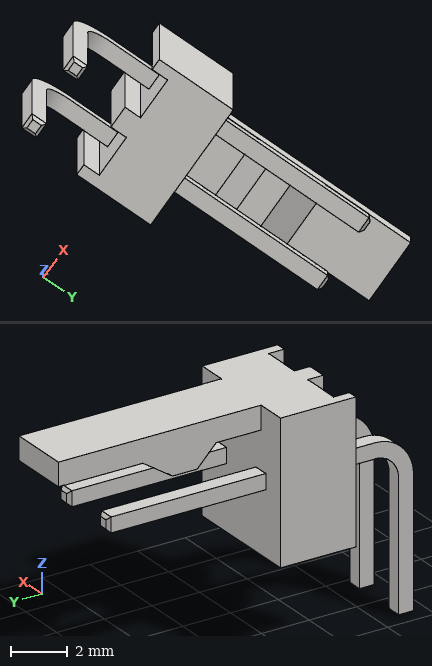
import cadquery as cq

pin_count = 2
body_width = 5.08
pitch = body_width / pin_count
body_depth = 3.18
body_height = 5.86

groove_depth = 0.66
end_wall = 0.44
middle_wall = 0.87
groove_width = (body_width - 2 * end_wall - (pin_count - 1) * middle_wall) / pin_count

tongue_width = 2.56
tongue_thickness = 0.97
tongue_end = 11.69
catch_drop = 0.82
catch_base_front = 5.06
catch_flat_front = 5.86
catch_flat_back = 6.9
catch_base_back = 8.14

pin_size = 0.63
pin_top = -2.55
overall_length = 14.72
pin_front = tongue_end - overall_length
pin_back = 9.8
pin_bottom = -9.65
bend_outer_radius = 1.63
bend_inner_radius = bend_outer_radius - pin_size
tip_size = 0.13


def positions(count, spacing):
    """Centred row of evenly spaced X positions."""
    return [(i - (count - 1) / 2) * spacing for i in range(count)]


def extrude_across(profile, width):
    """Extrude a YZ profile symmetrically about X = 0."""
    return profile.close().extrude(width / 2, both=True)


def make_housing():
    housing = cq.Workplane("XY").box(
        body_width, body_depth, body_height, centered=(True, False, False)
    ).translate((0, 0, -body_height))
    groove = cq.Workplane("XY").box(
        groove_width, groove_depth, body_height, centered=(True, False, False)
    ).translate((0, 0, -body_height))
    for x in positions(pin_count, groove_width + middle_wall):
        housing = housing.cut(groove.translate((x, 0, 0)))
    return housing


def make_tongue():
    catch_bottom = -tongue_thickness - catch_drop
    profile = (
        cq.Workplane("YZ")
        .moveTo(body_depth, 0)
        .lineTo(tongue_end, 0)
        .lineTo(tongue_end, -tongue_thickness)
        .lineTo(catch_base_back, -tongue_thickness)
        .lineTo(catch_flat_back, catch_bottom)
        .lineTo(catch_flat_front, catch_bottom)
        .lineTo(catch_base_front, -tongue_thickness)
        .lineTo(body_depth, -tongue_thickness)
    )
    return extrude_across(profile, tongue_width)


def make_pin():
    bend_y = pin_front + bend_outer_radius
    bend_z = pin_top - bend_outer_radius
    profile = (
        cq.Workplane("YZ")
        .moveTo(pin_back, pin_top)
        .lineTo(bend_y, pin_top)
        .radiusArc((pin_front, bend_z), -bend_outer_radius)
        .lineTo(pin_front, pin_bottom)
        .lineTo(pin_front + pin_size, pin_bottom)
        .lineTo(pin_front + pin_size, bend_z)
        .radiusArc((bend_y, pin_top - pin_size), bend_inner_radius)
        .lineTo(pin_back, pin_top - pin_size)
    )
    pin = extrude_across(profile, pin_size)
    pin = pin.faces(">Y").edges().chamfer(tip_size)
    return pin.faces("<Z").edges().chamfer(tip_size)


result = make_housing().union(make_tongue())
for pin_x in positions(pin_count, pitch):
    result = result.union(make_pin().translate((pin_x, 0, 0)))